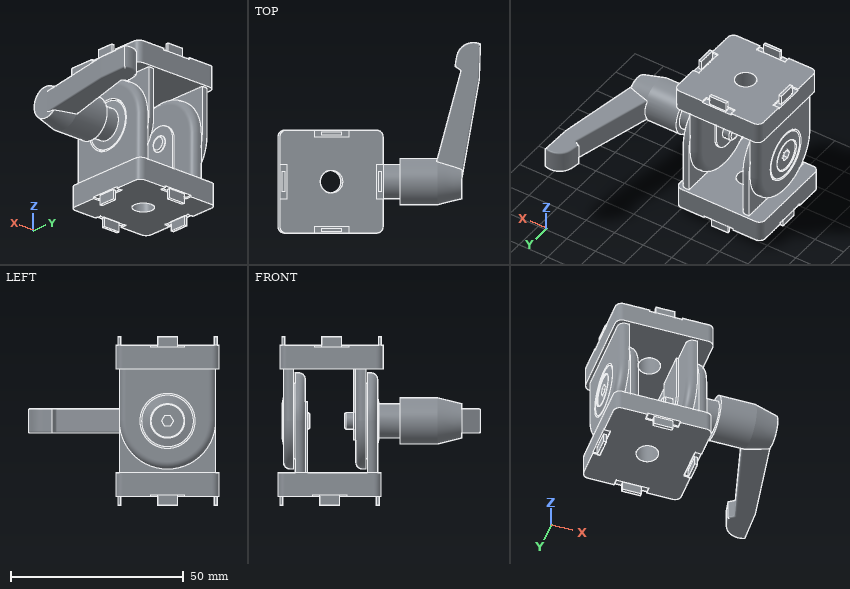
import cadquery as cq
import math


plate_size = 30.0
plate_inner_z = 15.0
plate_outer_z = 22.0
plate_corner_radius = 2.0
plate_bore_diameter = 6.5

tab_length = 5.8
tab_thickness = 0.9
tab_inset = 1.0
tab_top_z = 24.5
recess_length = 10.0
recess_width = 2.0
recess_depth = 0.5

ear_thickness = 3.0
ear_radius = 14.0
ear_edge_radius = 2.0
outer_ear_x = -14.0
inner_ear_x = 7.0
pad_diameter = 11.2
pad_height = 0.6
pivot_diameter = 5.0

friction_washer_diameter = 22.0
friction_washer_thickness = 0.4
seat_diameter = 16.0
seat_depth = 2.2
cone_washer_diameter = 15.0
cone_washer_face_diameter = 10.0
cone_washer_rise = 0.4
cone_washer_drop = 0.5

screw_head_diameter = 9.5
screw_end_x = -6.0
hex_across_flats = 3.0
hex_depth = 2.2
thread_end_chamfer = 0.5

stud_end_x = 4.0
neck_diameter = 10.0
hub_diameter = 13.5
hub_end_diameter = 10.0
hub_start_x = 20.1
hub_taper_x = 31.1
hub_end_x = 38.13

arm_thickness = 7.1
arm_edge_radius = 0.5
arm_root_y = 3.0
arm_heel_y = 0.7
inner_edge_angle = math.radians(15)
outer_edge_angle = math.radians(10)
knee_y = 29.7
tip_x = 43.57
tip_radius = 5.0
tip_center_x = 41.5
tip_center_y = 35.43
nose_angle = math.radians(10)
nose_bottom_y = 33.5
notch_x = 37.85
notch_y = 32.3
notch_radius = 0.5

outer_ear_back = abs(outer_ear_x) - ear_thickness
inner_ear_back = inner_ear_x + ear_thickness
bracket_shift = (outer_ear_back - inner_ear_back - friction_washer_thickness) / 2
washer_face_x = abs(outer_ear_x) - bracket_shift + cone_washer_rise
friction_washer_x = inner_ear_back + bracket_shift


def x_cylinder(diameter, start_x, length):
    """Cylinder on the hinge axis."""
    return cq.Workplane("YZ").workplane(offset=start_x).circle(diameter / 2).extrude(length)


def turned(points):
    """Solid of revolution about X from (x, radius) points."""
    return cq.Workplane("XY").polyline(points).close().revolve(360, (0, 0, 0), (1, 0, 0))


def make_ear(start_x):
    """Ear with a half-round end, rounded on its -X edge."""
    ear = (
        cq.Workplane("YZ").workplane(offset=start_x)
        .moveTo(-ear_radius, plate_inner_z)
        .lineTo(-ear_radius, 0)
        .threePointArc((0, -ear_radius), (ear_radius, 0))
        .lineTo(ear_radius, plate_inner_z)
        .close()
        .extrude(ear_thickness)
    )
    rounded_edges = ear.faces("<X").edges("not >Z")
    return rounded_edges.fillet(ear_edge_radius)


def make_pad():
    """U-shaped pad on the -X face of the inner ear, running up to the plate."""
    radius = pad_diameter / 2
    return (
        cq.Workplane("YZ").workplane(offset=inner_ear_x - pad_height)
        .moveTo(-radius, plate_inner_z)
        .lineTo(-radius, 0)
        .threePointArc((0, -radius), (radius, 0))
        .lineTo(radius, plate_inner_z)
        .close()
        .extrude(pad_height)
    )


def make_plate():
    plate = (
        cq.Workplane("XY").workplane(offset=plate_inner_z)
        .rect(plate_size, plate_size)
        .extrude(plate_outer_z - plate_inner_z)
        .edges("|Z").fillet(plate_corner_radius)
    )
    bore = cq.Workplane("XY").circle(plate_bore_diameter / 2).extrude(plate_outer_z)
    plate = plate.cut(bore)
    recess_floor_z = plate_outer_z - recess_depth
    recess = (
        cq.Workplane("XY").workplane(offset=recess_floor_z)
        .center(plate_size / 2 - recess_width / 2, 0)
        .rect(recess_width, recess_length)
        .extrude(recess_depth)
    )
    tab = (
        cq.Workplane("XY").workplane(offset=recess_floor_z)
        .center(plate_size / 2 - tab_inset, 0)
        .rect(tab_thickness, tab_length)
        .extrude(tab_top_z - recess_floor_z)
    )
    for angle in (0, 90, 180, 270):
        plate = plate.cut(recess.rotate((0, 0, 0), (0, 0, 1), angle))
        plate = plate.union(tab.rotate((0, 0, 0), (0, 0, 1), angle))
    return plate


def make_bracket():
    bracket = make_plate()
    for start_x in (outer_ear_x, inner_ear_x):
        bracket = bracket.union(make_ear(start_x))
    bracket = bracket.union(make_pad())
    bracket = bracket.cut(x_cylinder(pivot_diameter, -plate_size / 2, plate_size))
    return bracket.cut(x_cylinder(seat_diameter, outer_ear_x, seat_depth))


def make_friction_washer():
    """Flat ring between two ears on the +X side."""
    ring = x_cylinder(friction_washer_diameter, friction_washer_x, friction_washer_thickness)
    return ring.cut(x_cylinder(pivot_diameter, friction_washer_x, friction_washer_thickness))


def make_cone_washer():
    """Countersunk washer with a conical face, seated in the +X ear."""
    back_x = washer_face_x - cone_washer_rise - seat_depth
    face_radius = cone_washer_face_diameter / 2
    rim_radius = cone_washer_diameter / 2
    bore_radius = pivot_diameter / 2
    countersink_depth = face_radius - bore_radius
    return turned([
        (back_x, bore_radius),
        (back_x, rim_radius),
        (washer_face_x - cone_washer_drop, rim_radius),
        (washer_face_x, face_radius),
        (washer_face_x - countersink_depth, bore_radius),
    ])


def make_hinge_screw():
    """Countersunk screw on the -X side, its 90 degree head resting in the cone washer."""
    head_radius = screw_head_diameter / 2
    shank_radius = pivot_diameter / 2
    head_x = -washer_face_x + (cone_washer_face_diameter - screw_head_diameter) / 2
    screw = turned([
        (head_x, 0),
        (head_x, head_radius),
        (head_x + head_radius - shank_radius, shank_radius),
        (screw_end_x - thread_end_chamfer, shank_radius),
        (screw_end_x, shank_radius - thread_end_chamfer),
        (screw_end_x, 0),
    ])
    across_corners = hex_across_flats / math.cos(math.pi / 6)
    socket = cq.Workplane("YZ").workplane(offset=head_x).polygon(6, across_corners).extrude(hex_depth)
    return screw.cut(socket)


def make_lever_arm():
    inner_root_x = notch_x - (notch_y - arm_root_y) * math.tan(inner_edge_angle)
    knee_x = hub_end_x + (knee_y - arm_heel_y) * math.tan(outer_edge_angle)
    tip_corner_y = tip_center_y + math.sqrt(tip_radius**2 - (tip_x - tip_center_x)**2)
    nose_top_x = tip_center_x - tip_radius * math.cos(nose_angle)
    nose_top_y = tip_center_y + tip_radius * math.sin(nose_angle)
    nose_bottom_x = nose_top_x - (nose_top_y - nose_bottom_y) * math.tan(nose_angle)
    arm = (
        cq.Workplane("XY").workplane(offset=-arm_thickness / 2)
        .moveTo(inner_root_x, arm_root_y)
        .lineTo(hub_end_x, arm_heel_y)
        .lineTo(knee_x, knee_y)
        .lineTo(tip_x, tip_corner_y)
        .threePointArc((tip_center_x, tip_center_y + tip_radius), (nose_top_x, nose_top_y))
        .lineTo(nose_bottom_x, nose_bottom_y)
        .lineTo(notch_x, notch_y)
        .close()
        .extrude(arm_thickness)
    )
    notch_corner = cq.selectors.NearestToPointSelector((notch_x, notch_y, 0))
    arm = arm.edges("|Z").edges(notch_corner).fillet(notch_radius)
    return arm.faces("<Z or >Z").edges().fillet(arm_edge_radius)


def make_lever():
    """Stud, neck, tapered hub and arm in one piece."""
    stud_radius = pivot_diameter / 2
    turned_part = turned([
        (stud_end_x, 0),
        (stud_end_x, stud_radius - thread_end_chamfer),
        (stud_end_x + thread_end_chamfer, stud_radius),
        (washer_face_x, stud_radius),
        (washer_face_x, neck_diameter / 2),
        (hub_start_x, neck_diameter / 2),
        (hub_start_x, hub_diameter / 2),
        (hub_taper_x, hub_diameter / 2),
        (hub_end_x, hub_end_diameter / 2),
        (hub_end_x, 0),
    ])
    return turned_part.union(make_lever_arm())


upper_bracket = make_bracket().translate((bracket_shift, 0, 0))
friction_washer = make_friction_washer()
cone_washer = make_cone_washer()
hinge_screw = make_hinge_screw()
lever = make_lever()

bodies = [hinge_screw.solids().val(), lever.solids().val()]
for repeated_body in (upper_bracket, friction_washer, cone_washer):
    for turn in (0, 180):
        bodies.append(repeated_body.rotate((0, 0, 0), (0, 1, 0), turn).solids().val())

result = cq.Compound.makeCompound(bodies)